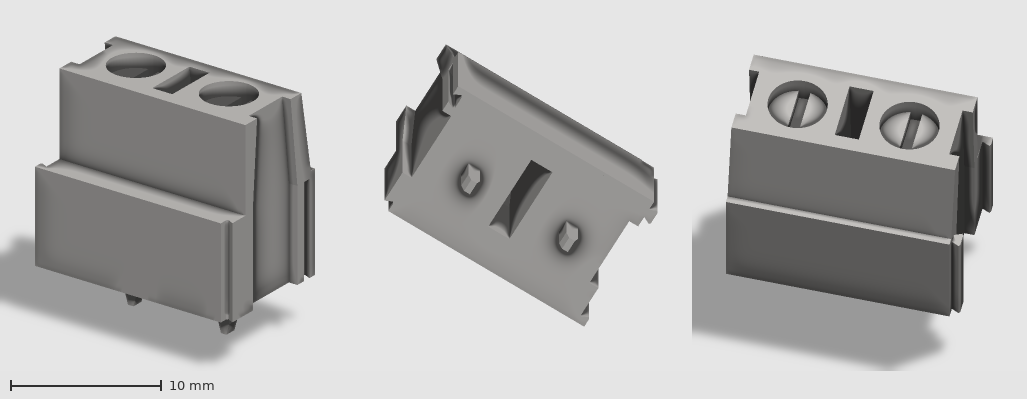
import cadquery as cq


strip_length = 15.24
front_y = -4.9
back_y = 4.9
housing_height = 13.84
step_height = 7.23
upper_front_y = -2.95
back_ledge_height = 7.75
slope_foot_y = 4.41
slope_top_y = 3.34

recess_depth = 0.7
recess_foot_front_y = -2.13
recess_foot_back_y = 2.89
recess_top_front_y = -1.65
recess_top_back_y = 2.13

joint_reach = 0.6
joint_chamfer = 0.09
tongue_y = 3.95
tongue_root_half = 0.3
tongue_wide_half = 0.54
tongue_tip_half = 0.42
hook_wide = 0.73
hook_root = hook_wide - (tongue_wide_half - tongue_root_half)
hook_tip = hook_wide - (tongue_wide_half - tongue_tip_half)

contact_pitch = strip_length / 2
contact_xs = [-contact_pitch / 2, contact_pitch / 2]
screw_y = 0.42
screw_diameter = 4.0
screw_sink = 1.1
driver_slot_width = 0.8
driver_slot_depth = driver_slot_width
pin_y = 0.28
pin_width = 0.9
pin_length = 3.46
pin_tip_width = 0.45
pin_tip_length = 0.81

window_length = 1.65
window_margin = 0.2

left_x = -strip_length / 2
right_x = strip_length / 2


def housing_block():
    section = [
        (front_y, 0),
        (back_y, 0),
        (back_y, back_ledge_height),
        (slope_foot_y, back_ledge_height),
        (slope_top_y, housing_height),
        (upper_front_y, housing_height),
        (upper_front_y, step_height),
        (front_y, step_height),
    ]
    return cq.Workplane("YZ", origin=(left_x, 0, 0)).polyline(section).close().extrude(strip_length)


def tapered_void(start_x, length, margin):
    """Void along X that narrows above the step; margin widens it to the front and back."""
    front_foot = recess_foot_front_y - margin
    back_foot = recess_foot_back_y + margin
    outline = [
        (front_foot, 0),
        (back_foot, 0),
        (back_foot, step_height),
        (recess_top_back_y + margin, housing_height),
        (recess_top_front_y - margin, housing_height),
        (front_foot, step_height),
    ]
    return cq.Workplane("YZ", origin=(start_x, 0, 0)).polyline(outline).close().extrude(length)


def end_recess(start_x):
    return tapered_void(start_x, recess_depth, 0)


def window():
    return tapered_void(-window_length / 2, window_length, window_margin)


def joint_profiles(root_x):
    """Tongue and hook that reach out in -X from the plane x = root_x."""
    wide_x = root_x - joint_reach + joint_chamfer
    tip_x = root_x - joint_reach
    tongue = [
        (root_x, tongue_y - tongue_root_half),
        (wide_x, tongue_y - tongue_wide_half),
        (tip_x, tongue_y - tongue_tip_half),
        (tip_x, tongue_y + tongue_tip_half),
        (wide_x, tongue_y + tongue_wide_half),
        (root_x, tongue_y + tongue_root_half),
    ]
    hook = [
        (root_x, front_y),
        (tip_x, front_y),
        (tip_x, front_y + hook_tip),
        (wide_x, front_y + hook_wide),
        (root_x, front_y + hook_root),
    ]
    sketch = cq.Workplane("XY").polyline(tongue).close().polyline(hook).close()
    return sketch.extrude(step_height)


def screw_hole(x):
    floor_z = housing_height - screw_sink
    sink = cq.Workplane("XY", origin=(x, screw_y, floor_z)).circle(screw_diameter / 2).extrude(screw_sink)
    slot = (
        cq.Workplane("XY", origin=(x, screw_y, floor_z - driver_slot_depth))
        .rect(driver_slot_width, screw_diameter)
        .extrude(driver_slot_depth)
    )
    round_limit = (
        cq.Workplane("XY", origin=(x, screw_y, floor_z - driver_slot_depth))
        .circle(screw_diameter / 2)
        .extrude(driver_slot_depth)
    )
    return sink.union(slot.intersect(round_limit))


def pin(x):
    outline = [
        (x - pin_width / 2, 0),
        (x + pin_width / 2, 0),
        (x + pin_width / 2, pin_tip_length - pin_length),
        (x + pin_tip_width / 2, -pin_length),
        (x - pin_tip_width / 2, -pin_length),
        (x - pin_width / 2, pin_tip_length - pin_length),
    ]
    plane = cq.Workplane("XZ", origin=(0, pin_y, 0))
    return plane.polyline(outline).close().extrude(pin_width / 2, both=True)


def full_strip():
    strip = housing_block().cut(window())
    strip = strip.cut(end_recess(left_x)).cut(end_recess(right_x - recess_depth))
    strip = strip.cut(joint_profiles(right_x)).union(joint_profiles(left_x))
    for x in contact_xs:
        strip = strip.cut(screw_hole(x)).union(pin(x))
    return strip


def module(strip, start_x, end_x):
    """Part of the strip between two planes across X."""
    slab = (
        cq.Workplane("XY", origin=(start_x, front_y, -pin_length))
        .box(end_x - start_x, back_y - front_y, pin_length + housing_height, centered=False)
    )
    return strip.intersect(slab)


strip = full_strip()
left_module = module(strip, left_x - joint_reach, contact_xs[0])
middle_module = module(strip, contact_xs[0], contact_xs[1])
right_module = module(strip, contact_xs[1], right_x)

result = cq.Compound.makeCompound([left_module.val(), middle_module.val(), right_module.val()])